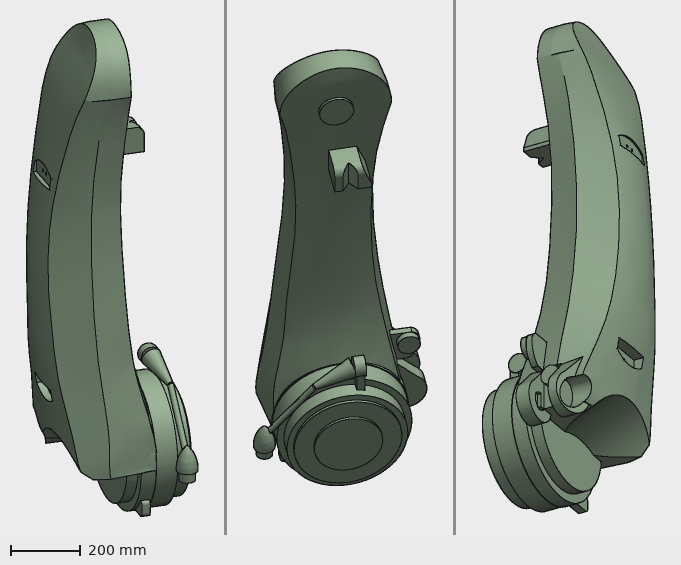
import cadquery as cq
import math


CUTTER = 1000.0

FLANGE_DIAMETER = 400.0
FLANGE_FRONT_Y = -46.0
CAP_RADIUS = 173.0
CAP_FRONT_Y = -80.0
HUB_STEPS = [(395.0, 65.0), (353.0, 111.0), (315.0, 120.0), (200.0, 128.0)]

END_RADIUS = 163.5
END_TOP_Z = 1314.13
END_CENTRE_Z = END_TOP_Z - END_RADIUS
END_BACK_Y = -63.0
END_RIDGE_Y = -112.0
END_TAPER = 0.10
ARM_BOTTOM_Z = -12.0
ARM_FRONT_Y = -310.3
END_FRONT_HALF_WIDTH = 153.0
LOFT_TOP_Z = END_TOP_Z + 10
ARM_STATIONS = [
    (ARM_BOTTOM_Z, -190, 200, -200, 217, -180, 200, 0, -1, -145, -217, -232),
    (85, -178, 194, -195, 209, -190, 180, 0, -4, -146, -241, -256),
    (205, -155, 173, -175, 187, -145, 156, -2, -33, -152, -263, -278),
    (290, -140, 155, -162, 175, -123, 140, -30, -50, -162, -278, -293),
    (390, -124, 146, -149, 164, -104, 125, -47, -63, -170, -287, -302),
    (600, -106, 122, -131, 140, -91, 100, -62, -74, -176, -295, ARM_FRONT_Y),
    (820, -110, 115, -132, 129, -100, 100, -68, -80, -171, -280, -294),
    (1000, -130, 132, -144, 140, -126, 124, -67, -73, -157, -248, -257),
    (
        END_CENTRE_Z,
        -END_RADIUS,
        END_RADIUS,
        -END_RADIUS,
        END_RADIUS,
        -END_FRONT_HALF_WIDTH,
        END_FRONT_HALF_WIDTH,
        END_BACK_Y,
        END_BACK_Y - 1,
        -135,
        -205,
        -208,
    ),
    (
        LOFT_TOP_Z,
        -END_RADIUS,
        END_RADIUS,
        -END_RADIUS,
        END_RADIUS,
        -END_FRONT_HALF_WIDTH,
        END_FRONT_HALF_WIDTH,
        END_BACK_Y,
        END_BACK_Y - 1,
        END_RIDGE_Y,
        -133,
        -136,
    ),
]

SCOOP_RADIUS = 242.0
SCOOP_X = 48.0
SCOOP_TOP_Z = 81.0
SCOOP_TOP_Y = -265.0
SCOOP_SLOPE = 0.42

LUG_X = -201.0
LUG_Z = 4.0
LUG_RADIUS = 63.5
LUG_SHOULDER = (-245.0, 48.0)
LUG_WEB_FOOT = (LUG_X, -40.0)
FRONT_LUG_WEB = [(-170.0, 134.0), LUG_SHOULDER, LUG_WEB_FOOT, (-150.0, 0.0)]
REAR_LUG_WEB = [(-160.0, 90.0), (-160.0, 135.0), LUG_SHOULDER, LUG_WEB_FOOT, (-175.0, 0.0)]
LUG_TIP_Y = -187.0
LUG_SLOPE_X = -0.291
LUG_SLOPE_Z = -0.10
LUG_BORE_LONG = 57.0
LUG_BORE_SHORT = 42.0
LUG_BORE_ANGLE = 50.0
LUG_BORE_FLOOR_Y = -175.0
FRONT_LUG_BACK_Y = -159.0
REAR_LUG_FRONT_Y = -96.0
REAR_LUG_BACK_Y = -53.0
REAR_LUG_HOLE = 55.0
REAR_LUG_HOLE_DEPTH = 12.0
HINGE_RECESS_X = -180.0
HINGE_RECESS_TOP_Z = 115.0
HINGE_RECESS_BOTTOM_Z = -60.0
HINGE_PIN_DIAMETER = 60.5
HINGE_PIN_Z = 83.0
HINGE_PIN_END_X = -200.0
HINGE_PIN_ROOT = 20.0

PADDLE_FRONT_Y = -96.0
PADDLE_BACK_Y = -76.0
PADDLE_BOSS_BACK_Y = -57.0
PADDLE_TOP_Z = 214.0
PADDLE_ROUND = 33.0
PADDLE_HEIGHT = 101.0
PADDLE_X = -213.0
PADDLE_TIP_X = -247.0
PADDLE_ROOT_X = -100.0

LEVER_Y = 62.0
LEVER_Z = 240.0
LEVER_DIAMETER = 60.5
LEVER_START_X = -60.0
LEVER_COLLAR_END_X = -27.0
LEVER_BEND_X = 90.0
LEVER_BEND_Y = 80.0
LEVER_BEND_Z = 200.0
LEVER_ROD_RADIUS = 9.0
LEVER_FOOT = (24.0, 28.0, 90.0)
LEVER_FOOT_Y = 75.0
KNOB_X = 236.65
KNOB_Y = 80.0
KNOB_RADIUS = 31.3
KNOB_TOP_Z = 72.0
KNOB_SHOULDER_RADIUS = 23.5
KNOB_SHOULDER_Z = 38.0
KNOB_BASE_Z = -8.0
KNOB_STEM_RADIUS = 24.0
KNOB_STEM_END_Z = -38.0

TAB_RIGHT_X = 173.0
TAB_LEFT_X = 110.0
TAB_BOTTOM_Z = -167.0
TAB_TOP_Z = -118.0
TAB_ROUND = 12.0
TAB_FRONT_Y = -35.0
TAB_BACK_Y = -10.0

POST_LEFT_X = -88.0
POST_RIGHT_X = 20.0
POST_BACK_Y = 25.0
POST_ROOT_Y = -120.0
POST_BOTTOM_Z = 908.0
POST_TOP_Z = 987.0
POST_ROUND = 26.0
POST_SHOULDER_X = -62.0
POST_SHOULDER_Z = 921.0
POST_NOTCH_X = -26.0
POST_NOTCH_HALF_WIDTH = 22.0
POST_NOTCH_DEPTH = 30.0
PAD_DIAMETER = 100.0
PAD_BACK_Y = -50.0

POCKET_HALF_WIDTH = 69.0
POCKET_X = 4.0
POCKET_SIDE = 34.0
POCKET_HEIGHT = 55.0
UPPER_POCKET_Z = 854.0
UPPER_POCKET_FLOOR_Y = -273.0
LOWER_POCKET_Z = 226.0
LOWER_POCKET_FLOOR_Y = -247.0
SCREW_DIAMETER = 8.0
SCREW_SPACING = 27.0
SCREW_DEPTH = 20.0
SCREW_FROM_EDGE = 26.0


def y_cylinder(radius, x, z, y_start, y_end):
    """Cylinder along Y between two Y positions."""
    axis = cq.Vector(0, 1 if y_end > y_start else -1, 0)
    solid = cq.Solid.makeCylinder(radius, abs(y_end - y_start), cq.Vector(x, y_start, z), axis)
    return cq.Workplane(obj=solid)


def xz_sketch(y):
    """Workplane at the given Y whose local axes are X and Z; it extrudes toward -Y."""
    return cq.Workplane("XZ", origin=(0, y, 0))


def hub():
    body = y_cylinder(FLANGE_DIAMETER / 2, 0, 0, FLANGE_FRONT_Y, 0)
    body = body.union(y_cylinder(CAP_RADIUS, 0, 0, CAP_FRONT_Y, 0))
    start = 0
    for diameter, end in HUB_STEPS:
        body = body.union(y_cylinder(diameter / 2, 0, 0, start, end))
        start = end
    return body


def arm_section(station):
    """Closed cross-section: crowned back and front joined by two straight flanks per side."""
    z, back_left, back_right, ridge_left, ridge_right, front_left, front_right = station[:7]
    back, back_edge, ridge, front_edge, front = station[7:]
    return (
        cq.Workplane("XY", origin=(0, 0, z))
        .moveTo(back_left, back_edge)
        .lineTo(ridge_left, ridge)
        .lineTo(front_left, front_edge)
        .threePointArc(((front_left + front_right) / 2, front), (front_right, front_edge))
        .lineTo(ridge_right, ridge)
        .lineTo(back_right, back_edge)
        .threePointArc(((back_left + back_right) / 2, back), (back_left, back_edge))
        .close()
        .val()
    )


def rounded_end():
    """Envelope of the arm: a wide slab below, closed by a half-round, tapering top."""
    front_y = ARM_FRONT_Y - 1
    length = END_RIDGE_Y - front_y
    centre = cq.Vector(0, END_RIDGE_Y, END_CENTRE_Z)
    cone = cq.Solid.makeCone(
        END_RADIUS, END_RADIUS - END_TAPER * length, length, centre, cq.Vector(0, -1, 0)
    )
    top = y_cylinder(END_RADIUS, 0, END_CENTRE_Z, END_RIDGE_Y, 1).union(cq.Workplane(obj=cone))
    height = END_CENTRE_Z - ARM_BOTTOM_Z
    slab = cq.Workplane("XY", origin=(0, 0, ARM_BOTTOM_Z)).rect(CUTTER, CUTTER).extrude(height)
    return slab.union(top)


def arm():
    sections = [arm_section(station) for station in ARM_STATIONS]
    loft = cq.Workplane(obj=cq.Solid.makeLoft(sections))
    return loft.intersect(rounded_end())


def front_lug():
    """Lug blended into the left of the arm, its front face sloping with the arm front."""
    depth = FRONT_LUG_BACK_Y - ARM_FRONT_Y
    plate = xz_sketch(FRONT_LUG_BACK_Y).polyline(FRONT_LUG_WEB).close().extrude(depth)
    plate = plate.union(y_cylinder(LUG_RADIUS, LUG_X, LUG_Z, FRONT_LUG_BACK_Y, FRONT_LUG_BACK_Y - depth))
    normal = cq.Vector(LUG_SLOPE_X, -1, LUG_SLOPE_Z)
    tip = (LUG_X - LUG_RADIUS, LUG_TIP_Y, LUG_Z)
    slope = cq.Plane(origin=tip, xDir=(0, LUG_SLOPE_Z, 1), normal=normal)
    ahead_of_slope = cq.Workplane(slope).rect(CUTTER, CUTTER).extrude(CUTTER)
    return plate.cut(ahead_of_slope)


def lug_bore():
    """Blind oval bore in the front lug, its long axis leaning up to the right."""
    return (
        cq.Workplane("XZ", origin=(LUG_X, LUG_BORE_FLOOR_Y, LUG_Z))
        .transformed(rotate=(0, 0, LUG_BORE_ANGLE))
        .ellipse(LUG_BORE_LONG, LUG_BORE_SHORT)
        .extrude(LUG_BORE_FLOOR_Y - ARM_FRONT_Y)
    )


def hinge_recess():
    """Recess between the two lugs, cut into the left flank of the arm."""
    width = LUG_RADIUS * 2
    size = (
        width,
        REAR_LUG_FRONT_Y - FRONT_LUG_BACK_Y,
        HINGE_RECESS_TOP_Z - HINGE_RECESS_BOTTOM_Z,
    )
    block = cq.Workplane("XY").box(*size, centered=False)
    return block.translate((HINGE_RECESS_X - width, FRONT_LUG_BACK_Y, HINGE_RECESS_BOTTOM_Z))


def hinge_pin():
    middle_y = (REAR_LUG_FRONT_Y + FRONT_LUG_BACK_Y) / 2
    start = cq.Vector(HINGE_RECESS_X + HINGE_PIN_ROOT, middle_y, HINGE_PIN_Z)
    return rod(start, cq.Vector(HINGE_PIN_END_X, middle_y, HINGE_PIN_Z), HINGE_PIN_DIAMETER / 2)


def scoop():
    """Inclined cylinder that hollows the arm in front of the hub cap."""
    tilt = math.atan(SCOOP_SLOPE)
    length = CUTTER
    along = cq.Vector(0, -math.cos(tilt), math.sin(tilt))
    top = cq.Vector(SCOOP_X, SCOOP_TOP_Y, SCOOP_TOP_Z - SCOOP_RADIUS / math.cos(tilt))
    start = top - along * (length / 2)
    tool = cq.Workplane(obj=cq.Solid.makeCylinder(SCOOP_RADIUS, length, start, along))
    ahead_of_cap = xz_sketch(CAP_FRONT_Y).rect(2 * CUTTER, 2 * CUTTER).extrude(CUTTER)
    return tool.intersect(ahead_of_cap)


def rear_lug():
    depth = REAR_LUG_BACK_Y - REAR_LUG_FRONT_Y
    lug = xz_sketch(REAR_LUG_BACK_Y).polyline(REAR_LUG_WEB).close().extrude(depth)
    lug = lug.union(y_cylinder(LUG_RADIUS, LUG_X, LUG_Z, REAR_LUG_FRONT_Y, REAR_LUG_BACK_Y))
    hole_floor_y = REAR_LUG_FRONT_Y + REAR_LUG_HOLE_DEPTH
    return lug.cut(y_cylinder(REAR_LUG_HOLE / 2, LUG_X, LUG_Z, hole_floor_y, REAR_LUG_FRONT_Y))


def paddle():
    """Thin rounded plate with a round boss behind it."""
    flank_z = PADDLE_TOP_Z - PADDLE_HEIGHT
    plate = (
        xz_sketch(PADDLE_BACK_Y)
        .moveTo(PADDLE_ROOT_X, PADDLE_TOP_Z)
        .lineTo(PADDLE_X - 12, PADDLE_TOP_Z)
        .threePointArc((PADDLE_TIP_X + 4, PADDLE_TOP_Z - 14), (PADDLE_TIP_X, PADDLE_TOP_Z - 40))
        .threePointArc((PADDLE_TIP_X + 9, PADDLE_TOP_Z - 74), (PADDLE_X, flank_z))
        .lineTo(PADDLE_ROOT_X, flank_z)
        .close()
        .extrude(PADDLE_BACK_Y - PADDLE_FRONT_Y)
    )
    boss_z = PADDLE_TOP_Z - PADDLE_ROUND
    boss = y_cylinder(PADDLE_ROUND, PADDLE_X, boss_z, PADDLE_BOSS_BACK_Y, PADDLE_FRONT_Y)
    return plate.union(boss)


def rod(start, end, radius, end_radius=None):
    """Round bar between two points; it tapers when an end radius is given."""
    direction = end - start
    if end_radius is None:
        return cq.Workplane(obj=cq.Solid.makeCylinder(radius, direction.Length, start, direction))
    return cq.Workplane(obj=cq.Solid.makeCone(radius, end_radius, direction.Length, start, direction))


def lever():
    """Collar, tapered neck and rod ending in a domed knob, carried by a foot on the hub."""
    collar_radius = LEVER_DIAMETER / 2
    start = cq.Vector(LEVER_START_X, LEVER_Y, LEVER_Z)
    collar_end = cq.Vector(LEVER_COLLAR_END_X, LEVER_Y, LEVER_Z)
    bend = cq.Vector(LEVER_BEND_X, LEVER_BEND_Y, LEVER_BEND_Z)
    knob_centre = cq.Vector(KNOB_X, KNOB_Y, (KNOB_TOP_Z + KNOB_BASE_Z) / 2)
    body = rod(start, collar_end, collar_radius)
    body = body.union(rod(collar_end, bend, collar_radius, LEVER_ROD_RADIUS))
    body = body.union(rod(bend, knob_centre, LEVER_ROD_RADIUS))
    foot_x = (LEVER_START_X + LEVER_COLLAR_END_X) / 2
    foot_z = LEVER_Z - LEVER_FOOT[2] / 2
    foot = cq.Workplane("XY").box(*LEVER_FOOT).translate((foot_x, LEVER_FOOT_Y, foot_z))
    knob = (
        cq.Workplane("XZ", origin=(KNOB_X, KNOB_Y, 0))
        .moveTo(0, KNOB_TOP_Z)
        .threePointArc((KNOB_SHOULDER_RADIUS, KNOB_SHOULDER_Z), (KNOB_RADIUS, KNOB_BASE_Z))
        .lineTo(KNOB_STEM_RADIUS, KNOB_BASE_Z)
        .lineTo(KNOB_STEM_RADIUS, KNOB_STEM_END_Z)
        .lineTo(0, KNOB_STEM_END_Z)
        .close()
        .revolve(360, (0, 0, 0), (0, 1, 0))
    )
    return body.union(foot).union(knob)


def tab():
    size = (TAB_RIGHT_X - TAB_LEFT_X, TAB_BACK_Y - TAB_FRONT_Y, TAB_TOP_Z - TAB_BOTTOM_Z)
    block = cq.Workplane("XY").box(*size, centered=False)
    block = block.edges("|Y and >X").fillet(TAB_ROUND)
    return block.translate((TAB_LEFT_X, TAB_FRONT_Y, TAB_BOTTOM_Z))


def post():
    """Post with a slanting left side, a rounded upper back edge and a vertical V-notch."""
    profile = [
        (POST_LEFT_X, POST_BOTTOM_Z),
        (POST_RIGHT_X, POST_BOTTOM_Z),
        (POST_RIGHT_X, POST_TOP_Z),
        (POST_SHOULDER_X, POST_TOP_Z),
        (POST_LEFT_X, POST_SHOULDER_Z),
    ]
    block = xz_sketch(POST_BACK_Y).polyline(profile).close().extrude(POST_BACK_Y - POST_ROOT_Y)
    block = block.edges(">Z and >Y").fillet(POST_ROUND)
    notch = [
        (POST_NOTCH_X - POST_NOTCH_HALF_WIDTH, POST_BACK_Y),
        (POST_NOTCH_X + POST_NOTCH_HALF_WIDTH, POST_BACK_Y),
        (POST_NOTCH_X, POST_BACK_Y - POST_NOTCH_DEPTH),
    ]
    height = POST_TOP_Z - POST_BOTTOM_Z
    groove = cq.Workplane("XY", origin=(0, 0, POST_BOTTOM_Z)).polyline(notch).close().extrude(height)
    return block.cut(groove)


def pocket(edge_z, floor_y, direction):
    """Pocket with a flat floor and a straight edge; it is arched toward `direction` in Z."""
    side_z = edge_z + direction * POCKET_SIDE
    left = POCKET_X - POCKET_HALF_WIDTH
    right = POCKET_X + POCKET_HALF_WIDTH
    tool = (
        xz_sketch(floor_y)
        .moveTo(left, edge_z)
        .lineTo(right, edge_z)
        .lineTo(right, side_z)
        .threePointArc((POCKET_X, edge_z + direction * POCKET_HEIGHT), (left, side_z))
        .close()
        .extrude(floor_y - ARM_FRONT_Y)
    )
    screw_z = edge_z + direction * SCREW_FROM_EDGE
    for side in (-1, 1):
        screw_x = POCKET_X + side * SCREW_SPACING / 2
        tool = tool.union(
            y_cylinder(SCREW_DIAMETER / 2, screw_x, screw_z, floor_y + SCREW_DEPTH, ARM_FRONT_Y)
        )
    return tool


structure = arm().union(front_lug()).cut(scoop())
structure = structure.cut(pocket(UPPER_POCKET_Z, UPPER_POCKET_FLOOR_Y, 1))
structure = structure.cut(pocket(LOWER_POCKET_Z, LOWER_POCKET_FLOOR_Y, -1))
structure = structure.cut(lug_bore()).cut(hinge_recess())
structure = structure.union(hub()).union(rear_lug()).union(paddle())
structure = structure.union(hinge_pin())
structure = structure.union(lever()).union(tab()).union(post())
structure = structure.union(y_cylinder(PAD_DIAMETER / 2, 0, END_CENTRE_Z, END_RIDGE_Y, PAD_BACK_Y))

result = structure